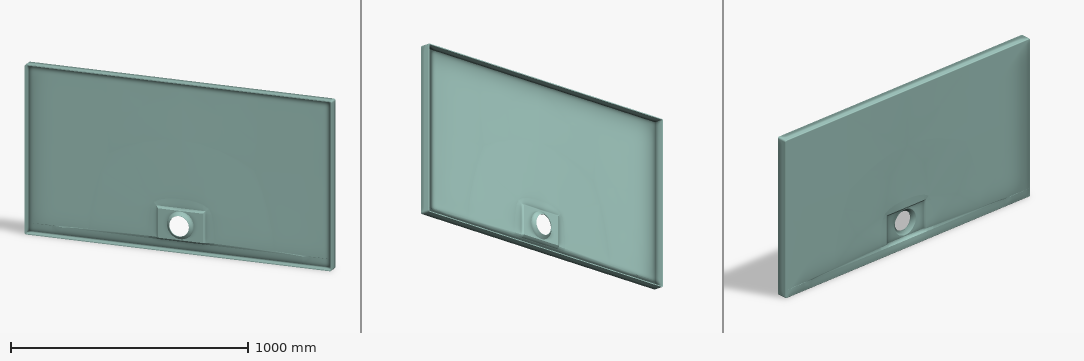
import cadquery as cq


WIDTH = 1400.0
DEPTH = 48.0
HEIGHT = 750.0

SHEET = 4.0
CORNER_RADIUS = 8.0
RIM_RADIUS = 3.5
HALF_INSIDE = WIDTH / 2 - SHEET
INSIDE_TOP = HEIGHT / 2 - SHEET
INSIDE_BOTTOM = -INSIDE_TOP
RIM_Y = DEPTH / 2 - SHEET

SURFACE_DEGREE = 5
SURFACE_SPANS = 3

STRIP_TOP = -336.0
STRIP_END_X = 592.0
STRIP_TILT_X = 550.0
TILTED_TOP = -337.5
STRIP_TILT = 3.0

QUARTER_X = 348.0
QUARTER_Z = 24.0
STAR = (331.0, 19.0, 14.0)
CENTER_NODE = (0.0, 15.5, 112.0)
FLOOR_FOOT = (424.0, 17.0, -330.0)
STAR_TOP_BEND = (345.0, 19.5, 190.0)
STAR_SIDE_BEND = (500.0, 19.5, 23.0)
STAR_CENTER_BEND = (177.0, 17.2, 82.0)
STAR_FOOT_BEND = (392.0, 18.1, -152.0)

BAND_Y = 12.0
BAND_TOP = -149.0
BAND_HALF_WIDTH = 150.0
BAND_CORNER = (126.0, BAND_Y, -175.0)
BAND_TOP_END = (99.0, BAND_Y, -161.0)
BAND_SIDE_END = (139.0, BAND_Y, -200.0)
BAND_TOP_BEND = (55.0, BAND_Y, -151.0)
BAND_SIDE_BEND = (148.0, BAND_Y, -255.0)

BOSS_BASE_Y = 10.0
BOSS_FACE_Y = 2.5
BOSS_HALF_WIDTH = 112.5
BOSS_TOP = -187.5
BOSS_DRAFT = 10.0
BOSS_FOOT = -327.0
FACE_HALF_WIDTH = BOSS_HALF_WIDTH - BOSS_DRAFT
FACE_TOP = BOSS_TOP - BOSS_DRAFT

DRAIN_Z = -261.0
COLLAR_BASE_RADIUS = 61.0
DRAIN_RADIUS = 45.0
COLLAR_LIP = 1.0
COLLAR_END_Y = -13.0


def line(start, end):
    return cq.Edge.makeLine(cq.Vector(*start), cq.Vector(*end))


def bend(start, middle, end):
    return cq.Edge.makeThreePointArc(cq.Vector(*start), cq.Vector(*middle), cq.Vector(*end))


def thicken(face):
    """Sheet whose underside is the face."""
    return cq.Solid.extrudeLinear(face, cq.Vector(0, SHEET, 0))


def stretched_plate(*edges):
    """Sheet of even thickness along Y whose underside is stretched over closed edges."""
    return thicken(cq.Face.makeNSidedSurface(edges, [], maxDeg=SURFACE_DEGREE, maxSegments=SURFACE_SPANS))


def ruled_plate(edge, opposite_edge):
    """Sheet of even thickness along Y whose underside is ruled between two edges."""
    return thicken(cq.Face.makeRuledSurface(edge, opposite_edge))


def quad_plate(a, b, c, d):
    """Sheet over four corners, given in order around it."""
    return ruled_plate(line(a, b), line(d, c))


def skirt():
    """Upright frame around the tray, rounded at its corners and along its rim."""
    opening = cq.Workplane("XY").box(2 * HALF_INSIDE, DEPTH, 2 * INSIDE_TOP)
    block = cq.Workplane("XY").box(WIDTH, DEPTH, HEIGHT)
    block = block.edges("|Y").fillet(CORNER_RADIUS)
    return block.faces(">Y").edges().fillet(RIM_RADIUS).cut(opening).val()


top_corner = (HALF_INSIDE, RIM_Y, INSIDE_TOP)
top_quarter = (QUARTER_X, RIM_Y, INSIDE_TOP)
top_center = (0.0, RIM_Y, INSIDE_TOP)
side_quarter = (HALF_INSIDE, RIM_Y, QUARTER_Z)
floor_corner = (HALF_INSIDE, RIM_Y, STRIP_TOP)
band_center = (0.0, BAND_Y, BAND_TOP)
band_foot = (BAND_HALF_WIDTH, BAND_Y, BOSS_FOOT)
boss_center = (0.0, BOSS_BASE_Y, BOSS_TOP)
boss_top_end = (BAND_TOP_END[0], BOSS_BASE_Y, BOSS_TOP)
boss_corner = (BOSS_HALF_WIDTH, BOSS_BASE_Y, BOSS_TOP)
boss_side_end = (BOSS_HALF_WIDTH, BOSS_BASE_Y, BAND_SIDE_END[2])
boss_foot = (BOSS_HALF_WIDTH, BOSS_BASE_Y, BOSS_FOOT)
face_center = (0.0, BOSS_FACE_Y, FACE_TOP)
face_corner = (FACE_HALF_WIDTH, BOSS_FACE_Y, FACE_TOP)
face_foot = (FACE_HALF_WIDTH, BOSS_FACE_Y, BOSS_FOOT)
strip_y = RIM_Y - STRIP_TILT
strip_end = (STRIP_END_X, RIM_Y, STRIP_TOP)
strip_tilt = (STRIP_TILT_X, strip_y, TILTED_TOP)
strip_center = (0.0, strip_y, TILTED_TOP)
strip_band = (BAND_HALF_WIDTH, strip_y, TILTED_TOP)
strip_boss = (BOSS_HALF_WIDTH, strip_y, TILTED_TOP)
strip_face = (FACE_HALF_WIDTH, strip_y, TILTED_TOP)


def on_bottom(x):
    """Point where the strip meets the bottom wall of the skirt."""
    return (x, RIM_Y, INSIDE_BOTTOM)


def floor_half():
    """Sloping floor on the +X half, with the dished band around the boss."""
    star_top = bend(STAR, STAR_TOP_BEND, top_quarter)
    star_side = bend(STAR, STAR_SIDE_BEND, side_quarter)
    star_center = bend(STAR, STAR_CENTER_BEND, CENTER_NODE)
    star_foot = bend(STAR, STAR_FOOT_BEND, FLOOR_FOOT)
    star_band = line(STAR, BAND_CORNER)
    center_top = line(top_center, CENTER_NODE)
    center_band = line(CENTER_NODE, band_center)
    band_top = bend(band_center, BAND_TOP_BEND, BAND_TOP_END)
    band_side = bend(BAND_SIDE_END, BAND_SIDE_BEND, band_foot)
    band_corner_top = line(BAND_TOP_END, BAND_CORNER)
    band_corner_side = line(BAND_CORNER, BAND_SIDE_END)
    outer_top = line(top_corner, top_quarter)
    inner_top = line(top_quarter, top_center)
    upper_side = line(side_quarter, top_corner)
    lower_side = line(floor_corner, side_quarter)
    outer_foot = line(FLOOR_FOOT, floor_corner)
    inner_foot = line(band_foot, FLOOR_FOOT)
    return [
        stretched_plate(outer_top, star_top, star_side, upper_side),
        stretched_plate(inner_top, center_top, star_center, star_top),
        stretched_plate(center_band, band_top, band_corner_top, star_band, star_center),
        stretched_plate(star_band, band_corner_side, band_side, inner_foot, star_foot),
        stretched_plate(star_side, star_foot, outer_foot, lower_side),
        ruled_plate(band_top, line(boss_center, boss_top_end)),
        quad_plate(BAND_TOP_END, BAND_CORNER, boss_corner, boss_top_end),
        quad_plate(BAND_CORNER, BAND_SIDE_END, boss_side_end, boss_corner),
        ruled_plate(band_side, line(boss_side_end, boss_foot)),
    ]


def boss_half():
    """Leaning top and side walls of the boss on the +X half."""
    return [
        quad_plate(boss_center, boss_corner, face_corner, face_center),
        quad_plate(boss_corner, boss_foot, face_foot, face_corner),
    ]


def strip_half():
    """Bottom strip on the +X half and the step that joins it to the floor."""
    return [
        quad_plate(floor_corner, FLOOR_FOOT, strip_tilt, strip_end),
        quad_plate(FLOOR_FOOT, band_foot, strip_band, strip_tilt),
        quad_plate(band_foot, boss_foot, strip_boss, strip_band),
        quad_plate(boss_foot, face_foot, strip_face, strip_boss),
        quad_plate(floor_corner, strip_end, on_bottom(STRIP_END_X), on_bottom(HALF_INSIDE)),
        quad_plate(strip_end, strip_tilt, on_bottom(STRIP_TILT_X), on_bottom(STRIP_END_X)),
        quad_plate(strip_tilt, strip_center, on_bottom(0.0), on_bottom(STRIP_TILT_X)),
    ]


def opposite(point):
    """The same point on the -X half."""
    return (-point[0], point[1], point[2])


def boss_middle():
    """Boss face and the step under it, each in one piece across the centre line."""
    return [
        quad_plate(face_corner, face_foot, opposite(face_foot), opposite(face_corner)),
        quad_plate(face_foot, strip_face, opposite(strip_face), opposite(face_foot)),
    ]


def collar_cone(y_shift):
    """Cone that narrows towards -Y from the boss face, moved along Y."""
    return cq.Solid.makeCone(
        COLLAR_BASE_RADIUS,
        DRAIN_RADIUS + COLLAR_LIP,
        BOSS_FACE_Y - COLLAR_END_Y,
        cq.Vector(0, BOSS_FACE_Y + y_shift, DRAIN_Z),
        cq.Vector(0, -1, 0),
    )


def drain_bore():
    return cq.Solid.makeCylinder(
        DRAIN_RADIUS, DEPTH, cq.Vector(0, -DEPTH / 2, DRAIN_Z), cq.Vector(0, 1, 0)
    )


first_plate, *more_plates = floor_half() + boss_half() + strip_half()
half = first_plate.fuse(*more_plates)
tray = half.fuse(half.mirror("YZ"), *boss_middle())
tray = tray.fuse(skirt())
tray = tray.fuse(collar_cone(0))
tray = tray.cut(collar_cone(SHEET), drain_bore())
result = cq.Workplane("XY").newObject(tray.Solids())